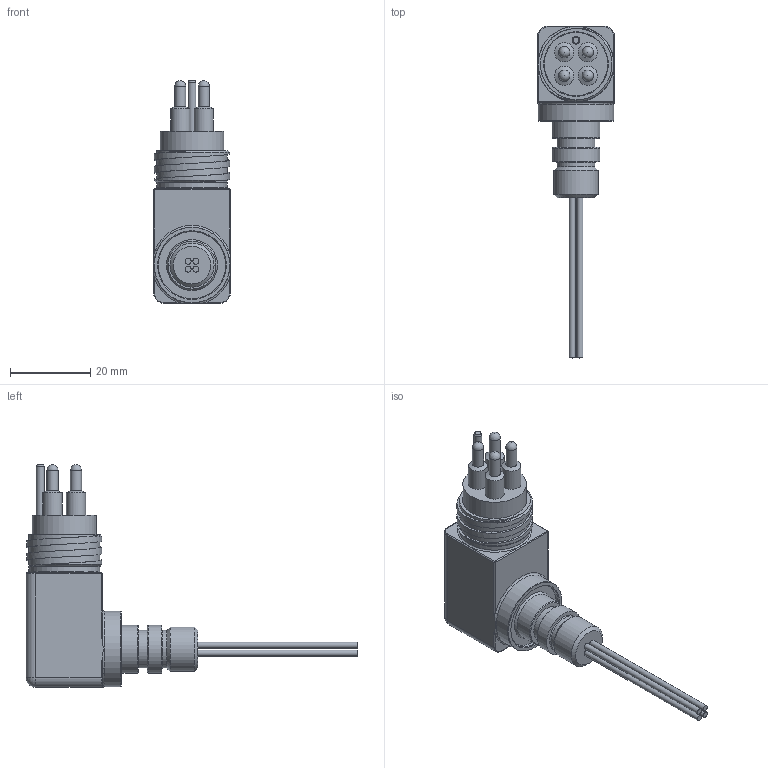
import cadquery as cq
import math

BLOCK_WIDTH = 19.05
BLOCK_HEIGHT = 28.575
BLOCK_ROUND = 2.38
EDGE_ROUND = 0.25
BLOCK_FRONT_Y = -BLOCK_WIDTH / 2

SLEEVE_TOP_Z = 38.1
THREAD_BOTTOM_Z = 30.25
THREAD_DIA = 18.85
THREAD_ROOT_DIA = 17.72
THREAD_PITCH = 3.175
THREAD_WIDTH = THREAD_PITCH / 2
THREAD_CHAMFER = 0.45
THREAD_OVERLAP = 0.3
NECK_DIA = 17.63
NECK_TAPER_HEIGHT = 0.2
NECK_FILLET = 0.38

INSULATOR_DIA = 15.88
INSULATOR_TOP_Z = 42.95
CLEARANCE_DIA = 16.13
CLEARANCE_DEPTH = 0.5

PIN_PITCH = 5.88
PIN_BASE_DIA = 4.8
PIN_DIA = 2.78
PIN_BASE_TOP_Z = 48.55
PIN_SHOULDER_HEIGHT = 0.53
PIN_TOP_Z = 55.55
KEY_PIN_DIA = 1.98
KEY_PIN_TIP_DIA = 1.52
KEY_PIN_TIP_HEIGHT = 0.5
KEY_PIN_Y = 5.95

OUTLET_Z = BLOCK_WIDTH / 2
COLLAR_DIA = 18.92
COLLAR_FILLET = 0.45
COLLAR_END = 4.75
COLLAR_RIM_DIA = 18.85
COLLAR_RIM_HEIGHT = 0.25
COLLAR_BORE_DIA = 16.74
COLLAR_MOUTH_DIA = 17.14
RECESS_DEPTH = 1.0
STEM_FOOT_DIA = 12.7
STEM_FOOT_HEIGHT = 0.6
STEM_DIA = 11.94
GROOVE_DIA = 9.4
FIRST_GROOVE_START = 9.0
FIRST_GROOVE_END = 11.2
SECOND_GROOVE_START = 14.8
SECOND_GROOVE_END = 16.1
TIP_DIA = 11.02
TIP_CHAMFER = (TIP_DIA - GROOVE_DIA) / 2
TIP_END = 23.8
GROOVE_EDGE_CHAMFER = 0.2
GROOVE_ROOT_FILLET = 0.25

WIRE_DIA = 1.52
WIRE_PITCH = 1.97
WIRE_END = 63.8


def cylinder(diameter, bottom_z, top_z):
    """Cylinder on the connector axis."""
    return cq.Workplane("XY").workplane(offset=bottom_z).circle(diameter / 2).extrude(top_z - bottom_z)


def make_block():
    """Box with large rounds at the back and bottom and small ones on its other edges."""
    block = cq.Workplane("XY").box(BLOCK_WIDTH, BLOCK_WIDTH, BLOCK_HEIGHT, centered=(True, True, False))
    block = block.edges("(|Z and >Y) or (|Y and <Z) or (|X and >Y and <Z)").fillet(BLOCK_ROUND)
    return block.faces(">Z or <Y").edges().fillet(EDGE_ROUND)


def make_thread():
    """Right-handed square thread, trimmed to the chamfered ends of the sleeve."""
    root_radius = THREAD_ROOT_DIA / 2
    crest_radius = THREAD_DIA / 2
    thread_start_z = BLOCK_HEIGHT
    turns_height = SLEEVE_TOP_Z - thread_start_z + THREAD_PITCH

    path = cq.Wire.makeHelix(THREAD_PITCH, turns_height, root_radius, center=cq.Vector(0, 0, thread_start_z))
    ridge_depth = crest_radius - root_radius + THREAD_OVERLAP
    ridge_middle = crest_radius - ridge_depth / 2
    ridge = (
        cq.Workplane("XZ")
        .center(ridge_middle, thread_start_z)
        .rect(ridge_depth, THREAD_WIDTH)
        .sweep(cq.Workplane(obj=path), isFrenet=True)
    )
    envelope = (
        cylinder(THREAD_DIA + 2 * THREAD_OVERLAP, THREAD_BOTTOM_Z, SLEEVE_TOP_Z)
        .faces(">Z or <Z")
        .chamfer(THREAD_CHAMFER + THREAD_OVERLAP)
    )
    return ridge.intersect(envelope)


def make_sleeve():
    """Relief neck with a filleted foot, thread core and thread, with the clearance groove on top."""
    root_radius = THREAD_ROOT_DIA / 2
    neck_radius = NECK_DIA / 2
    core = (
        cq.Workplane("XZ")
        .moveTo(0, BLOCK_HEIGHT - NECK_FILLET)
        .lineTo(neck_radius + NECK_FILLET, BLOCK_HEIGHT - NECK_FILLET)
        .lineTo(neck_radius + NECK_FILLET, BLOCK_HEIGHT)
        .radiusArc((neck_radius, BLOCK_HEIGHT + NECK_FILLET), NECK_FILLET)
        .lineTo(neck_radius, THREAD_BOTTOM_Z - NECK_TAPER_HEIGHT)
        .lineTo(root_radius, THREAD_BOTTOM_Z)
        .lineTo(root_radius, SLEEVE_TOP_Z)
        .lineTo(0, SLEEVE_TOP_Z)
        .close()
        .revolve(360, (0, 0, 0), (0, 1, 0))
    )
    clearance = cylinder(CLEARANCE_DIA, SLEEVE_TOP_Z - CLEARANCE_DEPTH, SLEEVE_TOP_Z)
    return core.union(make_thread()).cut(clearance)


def make_insulator():
    """Plain insulator that runs through the sleeve and carries the pins."""
    return cylinder(INSULATOR_DIA, BLOCK_HEIGHT, INSULATOR_TOP_Z)


def make_contact_pin(x, y):
    """Stepped pin with a conical shoulder and a hemispherical tip."""
    base_radius = PIN_BASE_DIA / 2
    radius = PIN_DIA / 2
    arc_middle = radius * math.sqrt(0.5)
    tip_start_z = PIN_TOP_Z - radius
    pin = (
        cq.Workplane("XZ")
        .moveTo(0, SLEEVE_TOP_Z)
        .lineTo(base_radius, SLEEVE_TOP_Z)
        .lineTo(base_radius, PIN_BASE_TOP_Z)
        .lineTo(radius, PIN_BASE_TOP_Z + PIN_SHOULDER_HEIGHT)
        .lineTo(radius, tip_start_z)
        .threePointArc((arc_middle, tip_start_z + arc_middle), (0, PIN_TOP_Z))
        .close()
        .revolve(360, (0, 0, 0), (0, 1, 0))
    )
    return pin.translate((x, y, 0))


def make_key_pin():
    """Thin alignment pin with a tapered end."""
    taper = (KEY_PIN_DIA - KEY_PIN_TIP_DIA) / 2
    pin = cylinder(KEY_PIN_DIA, SLEEVE_TOP_Z, PIN_TOP_Z)
    pin = pin.faces(">Z").chamfer(KEY_PIN_TIP_HEIGHT, taper)
    return pin.translate((0, KEY_PIN_Y, 0))


def make_outlet():
    """Collar, recess, grooved stem and tip, turned as one profile about the cable axis."""
    collar_radius = COLLAR_DIA / 2
    rim_radius = COLLAR_RIM_DIA / 2
    bore_radius = COLLAR_BORE_DIA / 2
    mouth_radius = COLLAR_MOUTH_DIA / 2
    mouth_chamfer = mouth_radius - bore_radius
    stem_radius = STEM_DIA / 2
    groove_radius = GROOVE_DIA / 2
    tip_radius = TIP_DIA / 2
    edge = GROOVE_EDGE_CHAMFER
    recess_floor = COLLAR_END - RECESS_DEPTH
    profile = (
        cq.Workplane("XY")
        .moveTo(0, -COLLAR_FILLET)
        .lineTo(collar_radius + COLLAR_FILLET, -COLLAR_FILLET)
        .lineTo(collar_radius + COLLAR_FILLET, 0)
        .radiusArc((collar_radius, COLLAR_FILLET), COLLAR_FILLET)
        .lineTo(collar_radius, COLLAR_END - COLLAR_RIM_HEIGHT)
        .lineTo(rim_radius, COLLAR_END - COLLAR_RIM_HEIGHT)
        .lineTo(rim_radius, COLLAR_END)
        .lineTo(mouth_radius, COLLAR_END)
        .lineTo(bore_radius, COLLAR_END - mouth_chamfer)
        .lineTo(bore_radius, recess_floor)
        .lineTo(STEM_FOOT_DIA / 2, recess_floor)
        .lineTo(stem_radius, recess_floor + STEM_FOOT_HEIGHT)
        .lineTo(stem_radius, FIRST_GROOVE_START - edge)
        .lineTo(stem_radius - edge, FIRST_GROOVE_START)
        .lineTo(groove_radius, FIRST_GROOVE_START)
        .lineTo(groove_radius, FIRST_GROOVE_END)
        .lineTo(stem_radius - edge, FIRST_GROOVE_END)
        .lineTo(stem_radius, FIRST_GROOVE_END + edge)
        .lineTo(stem_radius, SECOND_GROOVE_START)
        .lineTo(groove_radius + GROOVE_ROOT_FILLET, SECOND_GROOVE_START)
        .radiusArc((groove_radius, SECOND_GROOVE_START + GROOVE_ROOT_FILLET), GROOVE_ROOT_FILLET)
        .lineTo(groove_radius, SECOND_GROOVE_END)
        .lineTo(tip_radius, SECOND_GROOVE_END + TIP_CHAMFER)
        .lineTo(tip_radius, TIP_END - TIP_CHAMFER)
        .lineTo(tip_radius - TIP_CHAMFER, TIP_END)
        .lineTo(0, TIP_END)
        .close()
    )
    outlet = profile.revolve(360, (0, 0, 0), (0, 1, 0)).mirror("XZ")
    return outlet.translate((0, BLOCK_FRONT_Y, OUTLET_Z))


def trim_to_block_sides(outlet):
    """Cut away the collar foot where it would stand beyond the sides or bottom of the block."""
    slab_length = 2 * (BLOCK_WIDTH + TIP_END)
    slab = cq.Workplane("XY").box(BLOCK_WIDTH, slab_length, BLOCK_HEIGHT, centered=(True, True, False))
    return outlet.intersect(slab)


def make_wires():
    """Four wires leaving the cable tip in a square pattern, rooted a little inside the tip."""
    wire_start = TIP_END - TIP_CHAMFER
    return (
        cq.Workplane("XZ", origin=(0, BLOCK_FRONT_Y - wire_start, OUTLET_Z))
        .rarray(WIRE_PITCH, WIRE_PITCH, 2, 2)
        .circle(WIRE_DIA / 2)
        .extrude(WIRE_END - wire_start)
    )


result = make_block()
result = result.union(make_sleeve())
result = result.union(make_insulator())
pin_offset = PIN_PITCH / 2
for side_x in (-1, 1):
    for side_y in (-1, 1):
        result = result.union(make_contact_pin(side_x * pin_offset, side_y * pin_offset))
result = result.union(make_key_pin())
result = result.union(trim_to_block_sides(make_outlet()))
result = result.union(make_wires())